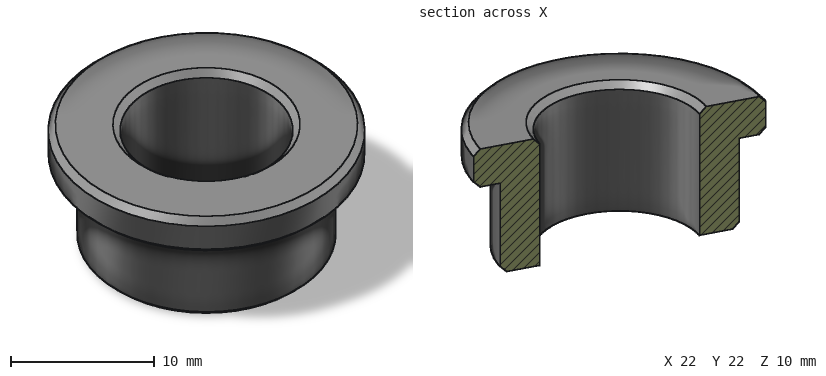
import cadquery as cq

flange_diameter = 22.0
body_diameter = 18.0
bore_diameter = 12.0
total_height = 10.0
flange_thickness = 3.0
edge_chamfer = 0.5
mouth_angle = 90.0

body_height = total_height - flange_thickness


def make_body():
    """Cylindrical sleeve with a chamfered lower outer edge."""
    body = cq.Workplane("XY").circle(body_diameter / 2).extrude(body_height)
    return body.faces("<Z").edges().chamfer(edge_chamfer)


def make_flange():
    """Collar on top of the sleeve, chamfered on both outer edges."""
    flange = (
        cq.Workplane("XY")
        .workplane(offset=body_height)
        .circle(flange_diameter / 2)
        .extrude(flange_thickness)
    )
    return flange.faces("<Z or >Z").edges().chamfer(edge_chamfer)


def cut_bore(bushing):
    """Through bore with a chamfered mouth at the flange face."""
    mouth_diameter = bore_diameter + 2 * edge_chamfer
    return (
        bushing.faces(">Z")
        .workplane(origin=(0, 0, 0))
        .cskHole(bore_diameter, mouth_diameter, mouth_angle)
    )


result = cut_bore(make_body().union(make_flange()))